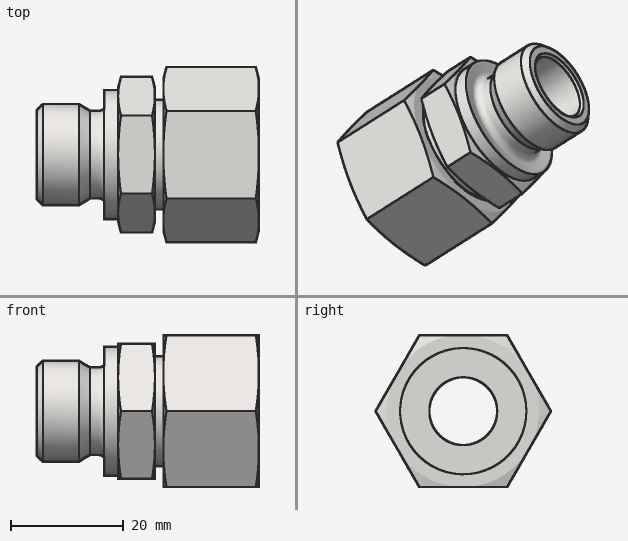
import cadquery as cq
import math

overall_length = 39.5
stud_tip_x = -overall_length / 2
stud_chamfer = 1.1
thread_end_x = stud_tip_x + 7.5
undercut_x = stud_tip_x + 9.48
collar_x = stud_tip_x + 12.0
body_hex_x = stud_tip_x + 14.5
body_hex_end_x = stud_tip_x + 21.0
nut_x = stud_tip_x + 22.5
shoulder_x = nut_x + 1.0
nut_end_x = overall_length / 2

bore_radius = 6.0
bore_chamfer = 0.47
thread_radius = 9.0
undercut_radius = 7.82
collar_radius = 11.5
neck_radius = 9.8
nut_bore_radius = 11.2
shoulder_chamfer = 1.2
body_hex_flats = 24.0
nut_flats = 27.0
hex_chamfer_angle = math.radians(15)

recess_outer_radius = 11.0
recess_angle = math.radians(10)
undercut_fillet = 1.22


def hex_prism(flats, start_x, end_x):
    """Hexagon along X, corners on +/-Y, with both ends chamfered down to the inscribed circle."""
    length = end_x - start_x
    inner_radius = flats / 2
    corner_radius = inner_radius / math.cos(math.pi / 6)
    chamfer_length = (corner_radius - inner_radius) * math.tan(hex_chamfer_angle)
    prism = (
        cq.Workplane("YZ", origin=(start_x, 0, 0))
        .polygon(6, 2 * corner_radius)
        .extrude(length)
    )
    turned_blank = (
        cq.Workplane("XY")
        .moveTo(start_x, 0)
        .lineTo(start_x, inner_radius)
        .lineTo(start_x + chamfer_length, corner_radius)
        .lineTo(end_x - chamfer_length, corner_radius)
        .lineTo(end_x, inner_radius)
        .lineTo(end_x, 0)
        .close()
        .revolve(360, (0, 0, 0), (1, 0, 0))
    )
    return prism.intersect(turned_blank)


def turned_stud():
    """Chamfered stud, undercut, collar with its dished recess, and the core inside the hexagon."""
    fillet_centre_radius = undercut_radius + undercut_fillet
    fillet_end_radius = fillet_centre_radius + undercut_fillet * math.sin(recess_angle)
    fillet_end_x = collar_x + (recess_outer_radius - fillet_end_radius) * math.tan(recess_angle)
    fillet_start_x = fillet_end_x - undercut_fillet * math.cos(recess_angle)
    middle_angle = (math.pi / 2 + recess_angle) / 2
    fillet_middle = (
        fillet_start_x + undercut_fillet * math.sin(middle_angle),
        fillet_centre_radius - undercut_fillet * math.cos(middle_angle),
    )
    return (
        cq.Workplane("XY")
        .moveTo(stud_tip_x, 0)
        .lineTo(stud_tip_x, thread_radius - stud_chamfer)
        .lineTo(stud_tip_x + stud_chamfer, thread_radius)
        .lineTo(thread_end_x, thread_radius)
        .lineTo(undercut_x, undercut_radius)
        .lineTo(fillet_start_x, undercut_radius)
        .threePointArc(fillet_middle, (fillet_end_x, fillet_end_radius))
        .lineTo(collar_x, recess_outer_radius)
        .lineTo(collar_x, collar_radius)
        .lineTo(body_hex_end_x, collar_radius)
        .lineTo(body_hex_end_x, 0)
        .close()
        .revolve(360, (0, 0, 0), (1, 0, 0))
    )


def stepped_shank():
    """Neck behind the hexagon, then a shoulder with a chamfered edge that fills the nut bore."""
    return (
        cq.Workplane("XY")
        .moveTo(body_hex_end_x, 0)
        .lineTo(body_hex_end_x, neck_radius)
        .lineTo(shoulder_x, neck_radius)
        .lineTo(shoulder_x, nut_bore_radius - shoulder_chamfer)
        .lineTo(shoulder_x + shoulder_chamfer, nut_bore_radius)
        .lineTo(nut_end_x, nut_bore_radius)
        .lineTo(nut_end_x, 0)
        .close()
        .revolve(360, (0, 0, 0), (1, 0, 0))
    )


def through_bore():
    """Bore along the whole fitting with a 45 degree chamfer at the stud tip."""
    return (
        cq.Workplane("XY")
        .moveTo(stud_tip_x, 0)
        .lineTo(stud_tip_x, bore_radius + bore_chamfer)
        .lineTo(stud_tip_x + bore_chamfer, bore_radius)
        .lineTo(nut_end_x, bore_radius)
        .lineTo(nut_end_x, 0)
        .close()
        .revolve(360, (0, 0, 0), (1, 0, 0))
    )


def make_fitting_body():
    """Stud, collar, hexagon and shank in one piece, bored through."""
    hexagon = hex_prism(body_hex_flats, body_hex_x, body_hex_end_x)
    return turned_stud().union(hexagon).union(stepped_shank()).cut(through_bore())


def make_union_nut():
    """Hexagon nut with a plain bore that closely fits the shoulder of the shank."""
    nut_bore = (
        cq.Workplane("YZ", origin=(nut_x, 0, 0))
        .circle(nut_bore_radius)
        .extrude(nut_end_x - nut_x)
    )
    return hex_prism(nut_flats, nut_x, nut_end_x).cut(nut_bore)


fitting_body = make_fitting_body()
union_nut = make_union_nut()

result = cq.Compound.makeCompound([fitting_body.val(), union_nut.val()])